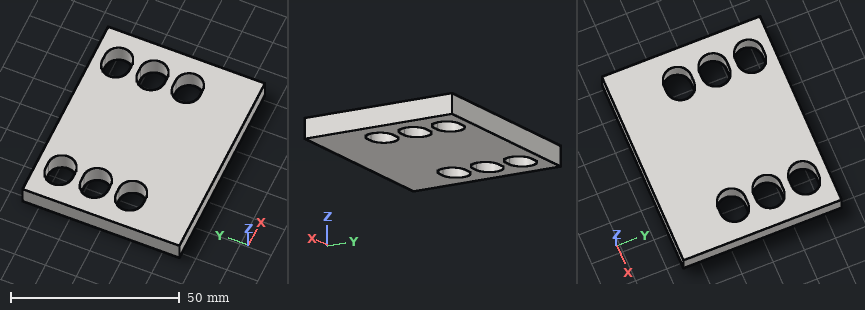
import cadquery as cq

length = 63.5
width = 50.8
thickness = 6.5

slot_length = 10.8
slot_width = 8.7
slot_column_spacing = 42.05
slot_pitch = 11.4
slots_per_column = 3
first_slot_from_back = 7.6

first_slot_y = width / 2 - first_slot_from_back
slot_centers = [
    (side * slot_column_spacing / 2, first_slot_y - row * slot_pitch)
    for side in (-1, 1)
    for row in range(slots_per_column)
]

plate = cq.Workplane("XY").box(length, width, thickness)

result = (
    plate.faces(">Z")
    .workplane(origin=(0, 0, 0))
    .pushPoints(slot_centers)
    .slot2D(slot_length, slot_width)
    .cutThruAll()
)